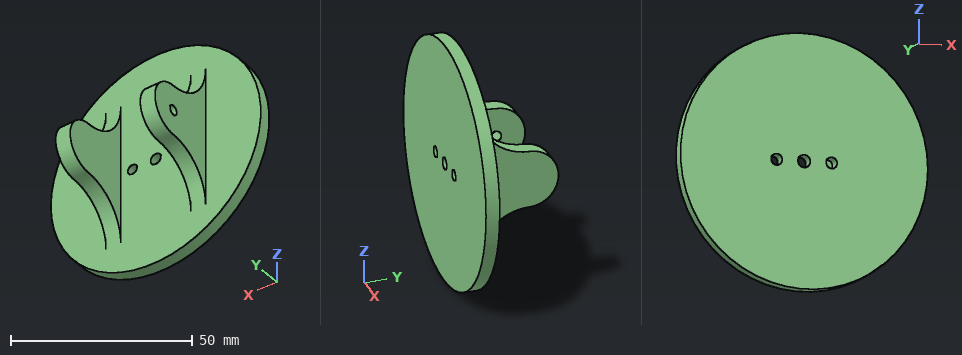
import cadquery as cq
import math

plate_diameter = 72
plate_thickness = 4.0

center_hole_diameter = 3.5
side_hole_diameter = 3.2
side_hole_offset = 8.0

lug_gap = 24.05
lug_thickness = 5.05
lug_end_radius = 8.5
total_depth = 27.4
pin_hole_diameter = 3.1

pin_y = total_depth - lug_end_radius
flare_radius = pin_y - plate_thickness
lug_foot_half_height = lug_end_radius + flare_radius
lug_foot_y = plate_thickness / 2


def make_plate():
    """Disc with one center hole and a smaller hole on either side."""
    return (
        cq.Workplane("XZ")
        .circle(plate_diameter / 2)
        .extrude(-plate_thickness)
        .cut(make_plate_hole(0, center_hole_diameter))
        .cut(make_plate_hole(-side_hole_offset, side_hole_diameter))
        .cut(make_plate_hole(side_hole_offset, side_hole_diameter))
    )


def make_plate_hole(x, diameter):
    """Cylinder that cuts a hole through the plate at the given X."""
    return cq.Workplane("XZ").center(x, 0).circle(diameter / 2).extrude(-plate_thickness)


def make_lug(start_x):
    """Round-ended lug with concave flares, extruded along +X from start_x."""
    flare_mid_y = pin_y - flare_radius * math.cos(math.pi / 4)
    flare_mid_z = lug_foot_half_height - flare_radius * math.sin(math.pi / 4)
    return (
        cq.Workplane("YZ", origin=(start_x, 0, 0))
        .moveTo(lug_foot_y, -lug_foot_half_height)
        .lineTo(plate_thickness, -lug_foot_half_height)
        .threePointArc((flare_mid_y, -flare_mid_z), (pin_y, -lug_end_radius))
        .threePointArc((total_depth, 0), (pin_y, lug_end_radius))
        .threePointArc((flare_mid_y, flare_mid_z), (plate_thickness, lug_foot_half_height))
        .lineTo(lug_foot_y, lug_foot_half_height)
        .close()
        .extrude(lug_thickness)
    )


def make_pin_hole(start_x):
    """Cylinder that cuts the pin hole through one lug."""
    return (
        cq.Workplane("YZ", origin=(start_x, pin_y, 0))
        .circle(pin_hole_diameter / 2)
        .extrude(lug_thickness)
    )


left_lug_x = -lug_gap / 2 - lug_thickness
right_lug_x = lug_gap / 2

drilled_lug = make_lug(left_lug_x).cut(make_pin_hole(left_lug_x))
plain_lug = make_lug(right_lug_x)

result = make_plate().union(drilled_lug).union(plain_lug)